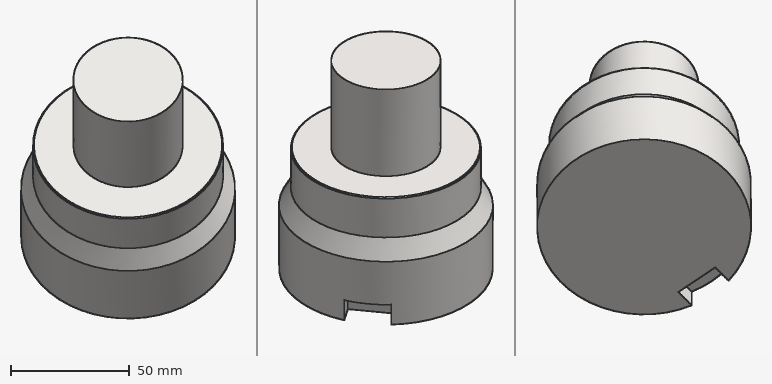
import cadquery as cq

total_height = 103.0
base_diameter = 90.0
collar_diameter = 80.0
shaft_diameter = 46.0

base_height = 31.3
cone_top = 40.2
housing_height = 59.9
collar_chamfer = 0.5

slot_width = 20.0
slot_height = 10.0
slot_depth = 10.0


def make_housing():
    """Stepped round housing with a conical shoulder and a slot in its lower rim."""
    base_radius = base_diameter / 2
    collar_radius = collar_diameter / 2
    body = (
        cq.Workplane("XZ")
        .moveTo(0, 0)
        .lineTo(base_radius, 0)
        .lineTo(base_radius, base_height)
        .lineTo(collar_radius, cone_top)
        .lineTo(collar_radius, housing_height - collar_chamfer)
        .lineTo(collar_radius - collar_chamfer, housing_height)
        .lineTo(0, housing_height)
        .close()
        .revolve(360, (0, 0, 0), (0, 1, 0))
    )
    slot = cq.Workplane("XY").box(
        slot_width, slot_depth, slot_height, centered=(True, False, False)
    ).translate((0, base_radius - slot_depth, 0))
    return body.cut(slot)


def make_shaft():
    """Plain round shaft standing on the housing's top face."""
    return (
        cq.Workplane("XY", origin=(0, 0, housing_height))
        .circle(shaft_diameter / 2)
        .extrude(total_height - housing_height)
    )


housing = make_housing()
shaft = make_shaft()

result = cq.Compound.makeCompound([housing.val(), shaft.val()])